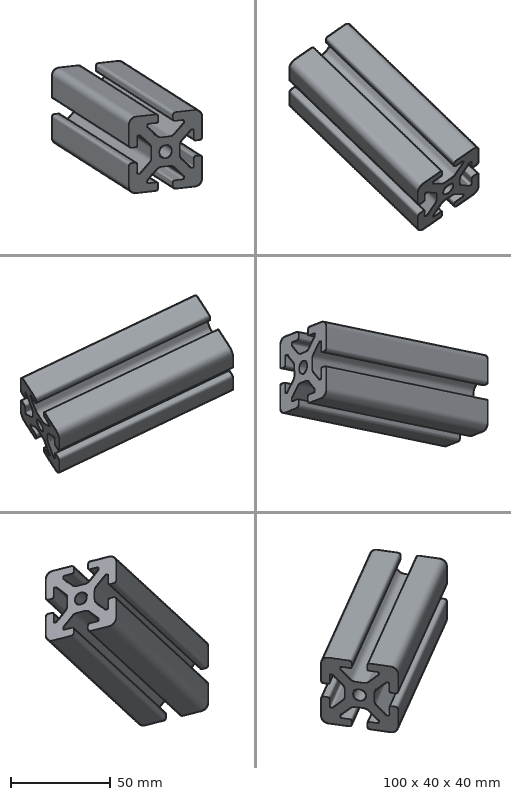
import cadquery as cq

length = 100
side = 40
corner_radius = 4
bore_diameter = 6.8

mouth_width = 8
lip_thickness = 4.5
floor_distance = 7.7
web_offset = 4.0
lip_outer_radius = 1.5
lip_inner_radius = 1.0
pocket_tip_radius = 1.0
floor_radius = 3.5

half_side = side / 2
half_mouth = mouth_width / 2
lip_inner = half_side - lip_thickness
half_pocket = lip_inner - web_offset
half_floor = floor_distance - web_offset


def make_bar():
    """Square bar along X with rounded long edges."""
    bar = cq.Workplane("YZ").rect(side, side).extrude(length / 2, both=True)
    return bar.edges("|X").fillet(corner_radius)


def make_slot():
    """T-slot opening towards +Z, with its flanks at 45 degrees."""
    right_side = [
        (half_floor, floor_distance),
        (half_pocket, lip_inner),
        (half_mouth, lip_inner),
        (half_mouth, half_side),
    ]
    left_side = [(-across, height) for across, height in reversed(right_side)]
    slot = cq.Workplane("YZ").polyline(right_side + left_side).close().extrude(length / 2, both=True)
    slot = round_corners(slot, half_floor, floor_distance, floor_radius)
    slot = round_corners(slot, half_pocket, lip_inner, pocket_tip_radius)
    return round_corners(slot, half_mouth, lip_inner, lip_inner_radius)


def round_corners(body, across, height, radius):
    """Fillet the mirrored pair of long edges at +/-across and the given height."""
    for y in (-across, across):
        edge = body.edges(cq.selectors.NearestToPointSelector((0, y, height)))
        body = edge.fillet(radius)
    return body


result = make_bar()
slot_cutter = make_slot()
for quarter_turn in range(4):
    result = result.cut(slot_cutter.rotate((0, 0, 0), (1, 0, 0), 90 * quarter_turn))

for outer in (-half_side, half_side):
    result = round_corners(result, half_mouth, outer, lip_outer_radius)
for mouth_edge in (-half_mouth, half_mouth):
    result = round_corners(result, half_side, mouth_edge, lip_outer_radius)

bore = cq.Workplane("YZ").circle(bore_diameter / 2).extrude(length / 2, both=True)
result = result.cut(bore)